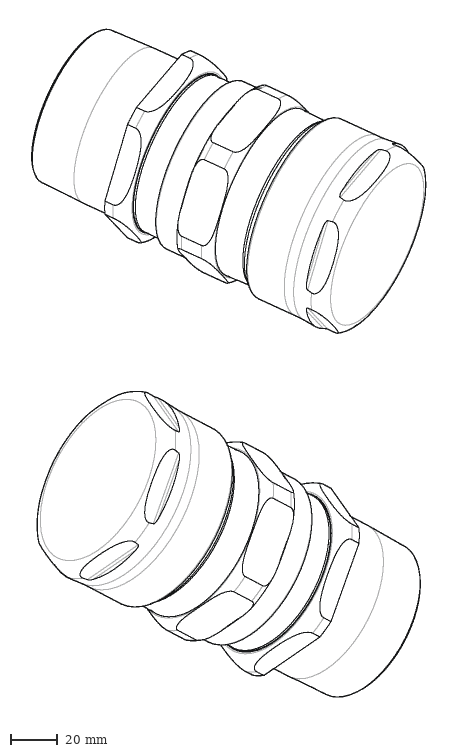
import cadquery as cq
import math


length = 152.9
hex_across_flats = 80.0
hex_corner_dia = 87.9

plug_end_dia = 70.3
end_chamfer = 0.9
taper_start_dia = 72.0
barrel_dia = 73.2
taper_end_x = 22.3
barrel_end_x = 42.0

lock_nut_x = 42.5
lock_nut_end_x = 52.6
lock_nut_round = 6.0

bead_dia = 74.5
bead_width = 0.9
sleeve_dia = 73.7
collar_x = 65.3
collar_dia = 79.2
collar_round = 0.6

body_hex_x = 77.2
body_hex_end_x = 95.5
body_hex_round = 4.1
tail_start_dia = 78.5
tail_end_dia = 77.7

seal_x = 109.2
seal_dia = 80.0
seal_chamfer = 1.5

cap_x = 113.0
cap_dia = 85.0
cap_edge_round = 0.9
cap_blend_x = 132.4
cap_cone_x = 137.3
cap_cone_angle = 4.5
cap_flats_x = 143.5
cap_flats_fillet = 0.9
cap_round_x = 146.6
cap_end_dia = 75.4


def turned(profile):
    """Revolve a profile, drawn as X against radius, about the X axis."""
    return profile.close().revolve(360, (0, 0, 0), (1, 0, 0))


def disc(start_x, end_x, diameter):
    """Plain cylinder along X."""
    return cq.Workplane("YZ", origin=(start_x, 0, 0)).circle(diameter / 2).extrude(end_x - start_x)


def hex_bar(start_x, end_x):
    """Hexagonal bar along X with corners on the Y axis and flats facing up and down."""
    point_to_point = hex_across_flats / math.cos(math.pi / 6)
    return cq.Workplane("YZ", origin=(start_x, 0, 0)).polygon(6, point_to_point).extrude(end_x - start_x)


def rounded_hex(start_x, end_x, round_radius, round_both_ends):
    """Hex nut blank whose corners are turned to a cylinder with rounded end edges."""
    rounded_edges = "%CIRCLE" if round_both_ends else ">X"
    envelope = disc(start_x, end_x, hex_corner_dia).edges(rounded_edges).fillet(round_radius)
    return hex_bar(start_x, end_x).intersect(envelope)


def make_entry_plug():
    """Closed plug: chamfered end, taper and straight barrel."""
    return turned(
        cq.Workplane("XY")
        .lineTo(0, plug_end_dia / 2)
        .lineTo(end_chamfer, taper_start_dia / 2)
        .lineTo(taper_end_x, barrel_dia / 2)
        .lineTo(barrel_end_x, barrel_dia / 2)
        .lineTo(barrel_end_x, 0)
    )


def make_lock_nut():
    """Thin hex nut around the sleeve, rounded on the side away from the entry end."""
    blank = rounded_hex(lock_nut_x, lock_nut_end_x, lock_nut_round, round_both_ends=False)
    return blank.cut(disc(lock_nut_x, lock_nut_end_x, sleeve_dia))


def make_sleeve():
    """Round sleeve from the plug to the body hex, with a bevelled bead behind the lock nut."""
    return turned(
        cq.Workplane("XY")
        .moveTo(barrel_end_x, 0)
        .lineTo(barrel_end_x, sleeve_dia / 2)
        .lineTo(lock_nut_end_x, sleeve_dia / 2)
        .lineTo(lock_nut_end_x, bead_dia / 2)
        .lineTo(lock_nut_end_x + bead_width, sleeve_dia / 2)
        .lineTo(body_hex_x, sleeve_dia / 2)
        .lineTo(body_hex_x, 0)
    )


def make_collar():
    """Ring around the sleeve, against the body hex."""
    ring = disc(collar_x, body_hex_x, collar_dia).faces("<X").edges().fillet(collar_round)
    return ring.cut(disc(collar_x, body_hex_x, sleeve_dia))


def make_body():
    """Hex rounded at both ends, with a slightly tapered tail behind it."""
    body_hex = rounded_hex(body_hex_x, body_hex_end_x, body_hex_round, round_both_ends=True)
    tail = turned(
        cq.Workplane("XY")
        .moveTo(body_hex_end_x, 0)
        .lineTo(body_hex_end_x, tail_start_dia / 2)
        .lineTo(seal_x, tail_end_dia / 2)
        .lineTo(seal_x, 0)
    )
    return body_hex.union(tail)


def make_seal():
    """Seal ring clamped between the tail and the cap nut."""
    chamfer_height = (seal_dia - tail_end_dia) / 2
    return disc(seal_x, cap_x, seal_dia).faces("<X").chamfer(seal_chamfer, chamfer_height)


def make_cap_nut():
    """Cap nut: cylinder blending into a flaring cone, rounded end, and six wrench flats."""
    slope = math.tan(math.radians(cap_cone_angle))
    cap_radius = cap_dia / 2
    cone_start_radius = cap_radius + (cap_cone_x - cap_blend_x) * math.tan(math.radians(cap_cone_angle / 2))
    cone_end_radius = cone_start_radius + (cap_round_x - cap_cone_x) * slope
    blank = turned(
        cq.Workplane("XY")
        .moveTo(cap_x, 0)
        .lineTo(cap_x, cap_radius - cap_edge_round)
        .radiusArc((cap_x + cap_edge_round, cap_radius), cap_edge_round)
        .lineTo(cap_blend_x, cap_radius)
        .tangentArcPoint((cap_cone_x, cone_start_radius), relative=False)
        .lineTo(cap_round_x, cone_end_radius)
        .tangentArcPoint((length, cap_end_dia / 2), relative=False)
        .lineTo(length, 0)
    )
    flats_cutter = disc(cap_flats_x, length, 2 * hex_corner_dia).cut(hex_bar(cap_flats_x, length))
    flats_cutter = flats_cutter.faces("<X").edges("%LINE").fillet(cap_flats_fillet)
    return blank.cut(flats_cutter)


entry_plug = make_entry_plug()
lock_nut = make_lock_nut()
sleeve = make_sleeve()
collar = make_collar()
body = make_body()
seal = make_seal()
cap_nut = make_cap_nut()

result = cq.Compound.makeCompound(
    [
        entry_plug.val(),
        lock_nut.val(),
        sleeve.val(),
        collar.val(),
        body.val(),
        seal.val(),
        cap_nut.val(),
    ]
)